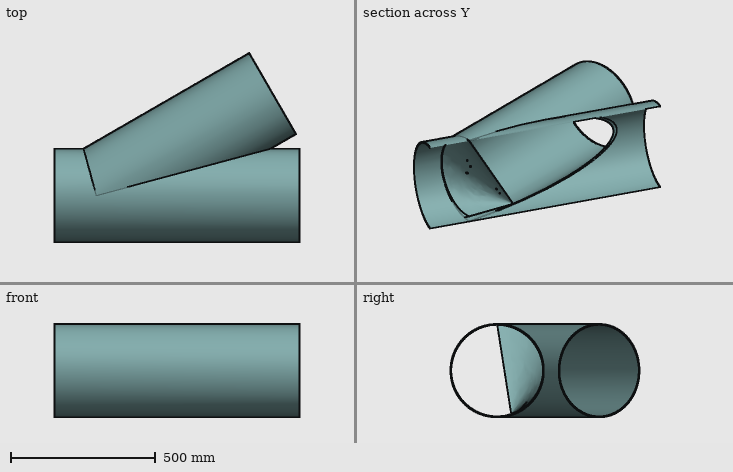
import cadquery as cq
import math

run_length = 848.0
outer_diameter = 324.0
bore_diameter = 316.0
overall_width = 655.0
branch_angle = 30.0
branch_start = 144.0
guide_thickness = 2.0
base_gap_angle = 9.0
tip_angle = 17.8
guide_tip_scale = 0.02

outer_radius = outer_diameter / 2
bore_radius = bore_diameter / 2
angle_rad = math.radians(branch_angle)
half_angle = angle_rad / 2

branch_rise = overall_width - outer_radius - outer_radius * math.cos(angle_rad)
branch_length = branch_rise / math.sin(angle_rad)


def run_rod(radius):
    return cq.Workplane("YZ").circle(radius).extrude(run_length)


def branch_rod(radius):
    branch_direction = (math.cos(angle_rad), math.sin(angle_rad), 0)
    plane = cq.Plane(origin=(branch_start, 0, 0), xDir=(0, 0, 1), normal=branch_direction)
    return cq.Workplane(plane).circle(radius).extrude(branch_length)


def pipes():
    solid_rods = run_rod(outer_radius).union(branch_rod(outer_radius))
    return solid_rods.cut(run_rod(bore_radius)).cut(branch_rod(bore_radius))


def mitre_point(radius, turn):
    y = radius * math.sin(turn)
    return cq.Vector(branch_start - y * math.tan(half_angle), y, radius * math.cos(turn))


def mitre_arc(radius, last_turn):
    mitre_normal = cq.Vector(math.cos(half_angle), math.sin(half_angle), 0)
    return cq.Edge.makeEllipse(
        radius / math.cos(half_angle),
        radius,
        cq.Vector(branch_start, 0, 0),
        mitre_normal,
        cq.Vector(-math.sin(half_angle), math.cos(half_angle), 0),
        90 - math.degrees(last_turn),
        90,
    )


def guide_sheet():
    last_turn = math.pi - math.radians(base_gap_angle)
    inner = bore_radius
    outer = bore_radius + guide_thickness
    base = cq.Wire.assembleEdges([
        mitre_arc(inner, last_turn),
        cq.Edge.makeLine(mitre_point(inner, 0), mitre_point(outer, 0)),
        mitre_arc(outer, last_turn),
        cq.Edge.makeLine(mitre_point(outer, last_turn), mitre_point(inner, last_turn)),
    ])
    tip_rad = math.radians(tip_angle)
    tip_y = bore_radius * math.sin(tip_rad)
    tip_x = branch_start + tip_y / math.tan(half_angle)
    tip = cq.Vector(tip_x, tip_y, -bore_radius * math.cos(tip_rad))
    blunt_end = base.translate(-tip).scale(guide_tip_scale).translate(tip)
    return cq.Solid.makeLoft([base, blunt_end], ruled=True)


result = pipes().union(cq.Workplane(guide_sheet()))